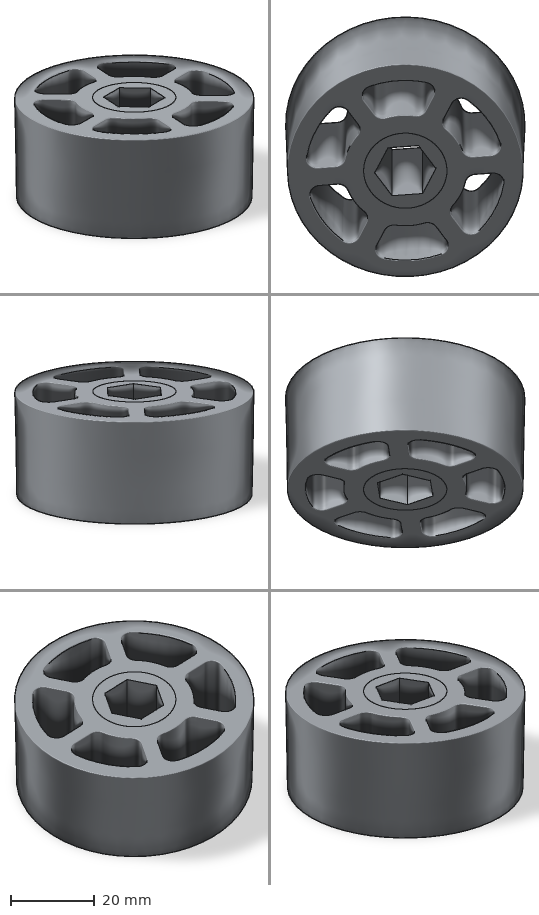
import cadquery as cq
import math

diameter = 57.15
height = 25.4
draft_angle = 1.0
edge_radius = 0.25

hub_diameter = 19.9
hex_sides = 6
hex_across_flats = 12.7

spoke_count = 6
spoke_width = 3.9
window_outer_radius = 24.2
window_inner_radius = 14.2
window_corner_radius = 2.5

draft_slope = math.tan(math.radians(draft_angle))
draft_inset = height * draft_slope
top_radius = diameter / 2 + edge_radius * draft_slope
bottom_radius = top_radius - draft_inset
spoke_pitch = 360 / spoke_count


def polar_point(radius, angle):
    """Point at the given radius and angle in degrees."""
    turn = math.radians(angle)
    return (radius * math.cos(turn), radius * math.sin(turn))


def window_sketch(inset):
    """Rounded window outline between the +X spoke and the next one, shrunk by the inset."""
    outer_radius = window_outer_radius - inset
    inner_radius = window_inner_radius + inset
    half_spoke = spoke_width / 2 + inset

    outer_start = math.degrees(math.asin(half_spoke / outer_radius))
    inner_start = math.degrees(math.asin(half_spoke / inner_radius))
    middle = spoke_pitch / 2

    outer_first = polar_point(outer_radius, outer_start)
    outer_middle = polar_point(outer_radius, middle)
    outer_last = polar_point(outer_radius, spoke_pitch - outer_start)
    inner_first = polar_point(inner_radius, inner_start)
    inner_middle = polar_point(inner_radius, middle)
    inner_last = polar_point(inner_radius, spoke_pitch - inner_start)

    return (
        cq.Sketch()
        .segment(inner_first, outer_first)
        .arc(outer_first, outer_middle, outer_last)
        .segment(outer_last, inner_last)
        .arc(inner_last, inner_middle, inner_first)
        .assemble()
        .vertices()
        .fillet(window_corner_radius)
    )


def make_window():
    """Through-cutter for one window, narrowing from the top face to the bottom face."""
    bottom_outline = window_sketch(draft_inset)
    top_outline = window_sketch(0).moved(cq.Location(cq.Vector(0, 0, height)))
    return cq.Workplane("XY").placeSketch(bottom_outline, top_outline).loft(ruled=True)


def make_wheel():
    """Drafted wheel with a hub bore and a ring of drafted windows."""
    wheel = (
        cq.Workplane("XZ")
        .polyline([(0, 0), (-bottom_radius, 0), (-top_radius, height), (0, height)])
        .close()
        .revolve(360, (0, 0, 0), (0, 1, 0))
    )
    window = make_window()
    for index in range(spoke_count):
        wheel = wheel.cut(window.rotate((0, 0, 0), (0, 0, 1), index * spoke_pitch))

    wheel = wheel.faces("<Z or >Z").edges().fillet(edge_radius)
    return wheel.cut(cq.Workplane("XY").circle(hub_diameter / 2).extrude(height))


def make_hub():
    """Round insert that fills the wheel bore, with a hexagonal shaft hole."""
    hex_across_corners = hex_across_flats / math.cos(math.pi / hex_sides)
    return (
        cq.Workplane("XY")
        .circle(hub_diameter / 2)
        .polygon(hex_sides, hex_across_corners)
        .extrude(height)
    )


wheel = make_wheel()
hub = make_hub()

result = cq.Compound.makeCompound([wheel.solids().val(), hub.val()])